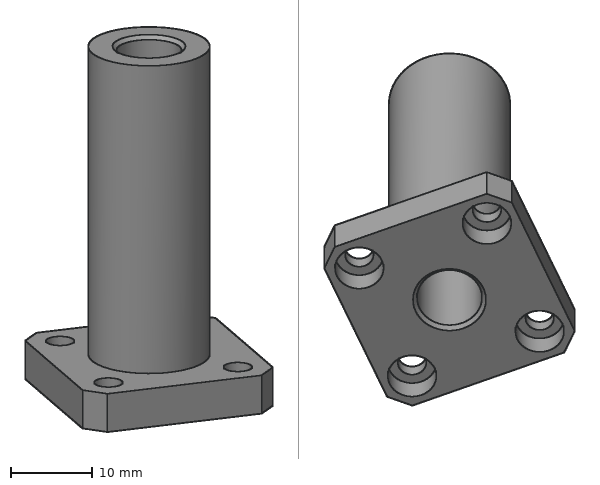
import cadquery as cq

total_height = 45.0
flange_width = 25.0
flange_thickness = 5.0
corner_chamfer = 2.4

sleeve_diameter = 15.0
bore_diameter = 8.0
bore_chamfer = 0.5

hole_diameter = 3.5
hole_spacing = 17.0
counterbore_diameter = 6.0
counterbore_depth = 3.1


def make_flange():
    """Square base plate with chamfered vertical corners."""
    plate = cq.Workplane("XY").rect(flange_width, flange_width).extrude(flange_thickness)
    return plate.edges("|Z").chamfer(corner_chamfer)


def make_sleeve():
    """Solid cylinder rising from the bottom of the flange to full height."""
    return cq.Workplane("XY").circle(sleeve_diameter / 2).extrude(total_height)


def make_bore():
    """Through bore, widened by a 45 degree chamfer at both ends."""
    bore_radius = bore_diameter / 2
    mouth_radius = bore_radius + bore_chamfer
    profile = [
        (0, 0),
        (mouth_radius, 0),
        (bore_radius, bore_chamfer),
        (bore_radius, total_height - bore_chamfer),
        (mouth_radius, total_height),
        (0, total_height),
    ]
    return cq.Workplane("XZ").polyline(profile).close().revolve(360, (0, 0, 0), (0, 1, 0))


def make_hole_pattern(diameter, depth):
    """Four cylinders in a square pattern, rising from the underside."""
    return (
        cq.Workplane("XY")
        .rect(hole_spacing, hole_spacing, forConstruction=True)
        .vertices()
        .circle(diameter / 2)
        .extrude(depth)
    )


def make_mounting_holes():
    """Through holes, each counterbored from the underside of the flange."""
    through_holes = make_hole_pattern(hole_diameter, flange_thickness)
    counterbores = make_hole_pattern(counterbore_diameter, counterbore_depth)
    return through_holes.union(counterbores)


body = make_flange().union(make_sleeve())
result = body.cut(make_bore()).cut(make_mounting_holes())